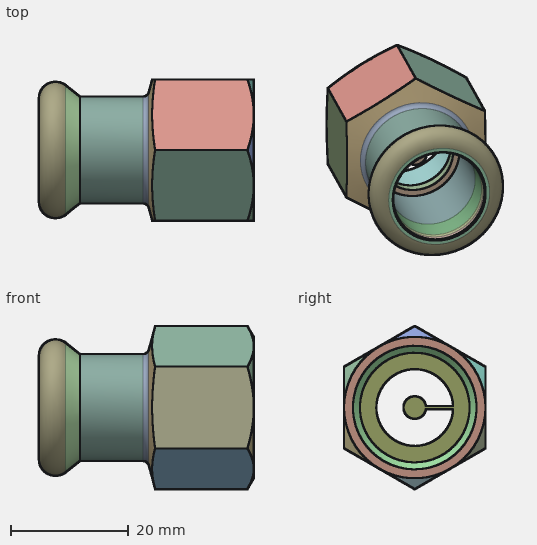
import cadquery as cq
import math

length = 36.5
across_flats = 24.0
flat_radius = across_flats / 2
corner_radius = flat_radius / math.cos(math.radians(30))
rear_chamfer_angle = 15.0
end_chamfer_angle = 30.0
nut_corner_start = 19.75

tube_radius = 18.2 / 2
bead_radius = 23.2 / 2
bead_round = 2.85
bead_arc_end = 4.53
bead_end = 6.97
neck_round_start = 17.75

mouth_radius = 16.15 / 2
lip_chamfer_depth = 0.22
mouth_depth = 1.35
seat_radius = 15.8 / 2
seat_step_radius = 15.55 / 2
seat_step_end = 1.97
seat_end = 6.5
socket_radius = 15.2 / 2
socket_depth = 19.7
passage_radius = 13.0 / 2
thread_start = 21.9
thread_radius = 18.6 / 2
thread_entry_radius = 21.0 / 2

disc_diameter = 3.87
arm_width = 0.6
arm_overlap = 0.07


def revolve_about_x(profile):
    return profile.close().revolve(360, (0, 0, 0), (1, 0, 0))


def cylinder_along_x(radius, start, end):
    return cq.Workplane("YZ", origin=(start, 0, 0)).circle(radius).extrude(end - start)


def make_tube():
    """Tube with a toroidal bead, a conical bead flank and a flared neck."""
    bead_center_radius = bead_radius - bead_round
    arc_drop = math.sqrt(bead_round**2 - (bead_arc_end - bead_round) ** 2)
    neck_angle = math.radians(90 - rear_chamfer_angle)
    nut_cone_slope = math.tan(math.radians(rear_chamfer_angle))
    neck_run = nut_corner_start - neck_round_start - (corner_radius - tube_radius) * nut_cone_slope
    neck_round = neck_run / (math.sin(neck_angle) - (1 - math.cos(neck_angle)) * nut_cone_slope)
    neck_end = neck_round_start + neck_round * math.sin(neck_angle)
    neck_end_radius = tube_radius + neck_round * (1 - math.cos(neck_angle))
    neck_mid = neck_round_start + neck_round * math.sin(neck_angle / 2)
    neck_mid_radius = tube_radius + neck_round * (1 - math.cos(neck_angle / 2))
    diagonal = bead_round * math.sqrt(0.5)
    return revolve_about_x(
        cq.Workplane("XY")
        .moveTo(0, 0)
        .lineTo(0, bead_center_radius)
        .threePointArc(
            (bead_round - diagonal, bead_center_radius + diagonal),
            (bead_arc_end, bead_center_radius + arc_drop),
        )
        .lineTo(bead_end, tube_radius)
        .lineTo(neck_round_start, tube_radius)
        .threePointArc((neck_mid, neck_mid_radius), (neck_end, neck_end_radius))
        .lineTo(nut_corner_start, neck_end_radius)
        .lineTo(nut_corner_start, 0)
    )


def make_nut():
    """Hexagonal prism trimmed by a cone at each end, with corners at +Z and -Z."""
    rear_slope = math.tan(math.radians(rear_chamfer_angle))
    end_slope = math.tan(math.radians(end_chamfer_angle))
    rear_tip = nut_corner_start - corner_radius * rear_slope
    end_corner = length - (corner_radius - flat_radius) * end_slope
    hexagon = (
        cq.Workplane("YZ", origin=(rear_tip, 0, 0))
        .polygon(6, 2 * corner_radius)
        .extrude(length - rear_tip)
        .rotate((0, 0, 0), (1, 0, 0), 90)
    )
    envelope = revolve_about_x(
        cq.Workplane("XY")
        .moveTo(rear_tip, 0)
        .lineTo(nut_corner_start, corner_radius)
        .lineTo(end_corner, corner_radius)
        .lineTo(length, flat_radius)
        .lineTo(length, 0)
    )
    return hexagon.intersect(envelope)


def make_bore():
    """Tapered tube socket, narrow passage and chamfered thread bore."""
    entry_chamfer = thread_entry_radius - thread_radius
    return revolve_about_x(
        cq.Workplane("XY")
        .moveTo(0, 0)
        .lineTo(0, mouth_radius)
        .lineTo(lip_chamfer_depth, seat_radius)
        .lineTo(mouth_depth, seat_radius)
        .lineTo(seat_step_end, seat_step_radius)
        .lineTo(seat_end, socket_radius)
        .lineTo(socket_depth, socket_radius)
        .lineTo(socket_depth, passage_radius)
        .lineTo(thread_start, passage_radius)
        .lineTo(thread_start, thread_radius)
        .lineTo(length - entry_chamfer, thread_radius)
        .lineTo(length, thread_entry_radius)
        .lineTo(length, 0)
    )


def make_disc_and_arm():
    """Disc on the bore axis, held by one arm from the +Y side of the passage."""
    disc = cylinder_along_x(disc_diameter / 2, socket_depth, thread_start)
    arm = cq.Workplane("XY").box(
        thread_start - socket_depth,
        passage_radius + arm_overlap,
        arm_width,
        centered=(False, False, True),
    )
    return disc.union(arm.translate((socket_depth, 0, 0)))


result = make_tube().union(make_nut()).cut(make_bore()).union(make_disc_and_arm())